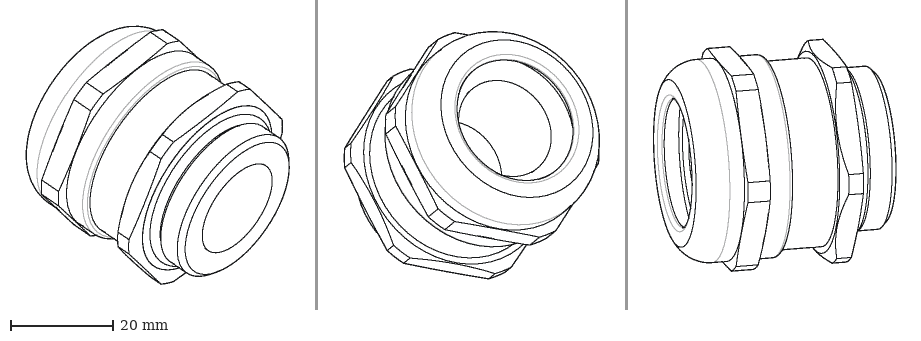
import cadquery as cq
import math


total_length = 40.75
hex_across_flats = 40.0
hex_corner_dia = 44.0
bore_dia = 20.0
flats_up_angle = 30
full_turn = 360

cap_dia = 39.8
cap_length = 18.7
cap_face_dia = 32.8
cap_dome_length = 5.9
cap_end_fillet = 0.65
cap_hex_start = 8.85
cap_hex_length = 4.93
cap_hex_front_chamfer = 0.18
cap_hex_rear_chamfer = 0.25
mouth_dia = 25.3
mouth_fillet = 0.75
mouth_land = 0.45

spigot_start = 5.45
spigot_dia = 35.5
neck_dia = 37.0
body_hex_start = 28.05
body_hex_length = 4.65
body_hex_front_dia = 39.6
body_hex_cone_angle = 30
body_hex_front_chamfer = (
    (hex_corner_dia - body_hex_front_dia) / 2 * math.tan(math.radians(body_hex_cone_angle))
)
body_hex_rear_dia = 36.25
body_hex_rear_chamfer = 0.45
body_hex_end = body_hex_start + body_hex_length
thread_dia = 32.0
thread_start = 35.25
thread_chamfer = 1.1

seal_dia = 29.8
seal_end = body_hex_start

ring_outer_dia = 34.0
groove_dia = 30.0
ring_section_dia = (ring_outer_dia - groove_dia) / 2


def cylinder(start, end, dia):
    """Solid cylinder on the X axis between two X positions."""
    return cq.Workplane("YZ", origin=(start, 0, 0)).circle(dia / 2).extrude(end - start)


def revolve_about_x(profile):
    """Full turn of an XY profile (X along the axis, Y the radius) about the X axis."""
    return profile.close().revolve(full_turn, (0, 0, 0), (1, 0, 0))


def hex_collar(start, length, front_dia, front_chamfer, rear_dia, rear_chamfer):
    """Hexagon with flats on +Z and -Z, its corners rounded and coned down at both ends."""
    end = start + length
    prism = (
        cq.Workplane("YZ", origin=(start, 0, 0))
        .polygon(6, hex_across_flats, circumscribed=True)
        .extrude(length)
        .rotate((0, 0, 0), (1, 0, 0), flats_up_angle)
    )
    envelope = revolve_about_x(
        cq.Workplane("XY")
        .moveTo(start, 0)
        .lineTo(start, front_dia / 2)
        .lineTo(start + front_chamfer, hex_corner_dia / 2)
        .lineTo(end - rear_chamfer, hex_corner_dia / 2)
        .lineTo(end, rear_dia / 2)
        .lineTo(end, 0)
    )
    return prism.intersect(envelope)


def make_cap_nut():
    """Domed nut with a hexagon, a rounded mouth and a conical cavity opening onto the spigot."""
    dome_drop = (cap_dia - cap_face_dia) / 2
    dome_radius = (cap_dome_length**2 + dome_drop**2) / (2 * dome_drop)
    half_angle = math.asin(cap_dome_length / dome_radius) / 2
    dome_middle = (
        cap_dome_length - dome_radius * math.sin(half_angle),
        cap_dia / 2 - dome_radius * (1 - math.cos(half_angle)),
    )
    shell = revolve_about_x(
        cq.Workplane("XY")
        .lineTo(0, cap_face_dia / 2)
        .threePointArc(dome_middle, (cap_dome_length, cap_dia / 2))
        .lineTo(cap_length, cap_dia / 2)
        .lineTo(cap_length, 0)
    )
    shell = shell.faces(">X").edges().fillet(cap_end_fillet)
    shell = shell.union(
        hex_collar(
            cap_hex_start, cap_hex_length, cap_dia, cap_hex_front_chamfer, cap_dia, cap_hex_rear_chamfer
        )
    )

    mouth_radius = mouth_dia / 2
    cavity_start = mouth_fillet + mouth_land
    cavity = revolve_about_x(
        cq.Workplane("XY")
        .lineTo(0, mouth_radius + mouth_fillet)
        .radiusArc((mouth_fillet, mouth_radius), -mouth_fillet)
        .lineTo(cavity_start, mouth_radius)
        .lineTo(spigot_start, spigot_dia / 2)
        .lineTo(cap_length, spigot_dia / 2)
        .lineTo(cap_length, 0)
    )
    return shell.cut(cavity)


def make_body():
    """Tube with a spigot inside the cap, a neck, a hexagon, an O-ring groove and a thread."""
    groove_end = thread_start - (thread_dia - groove_dia) / 2
    stem = revolve_about_x(
        cq.Workplane("XY")
        .moveTo(spigot_start, 0)
        .lineTo(spigot_start, spigot_dia / 2)
        .lineTo(cap_length, spigot_dia / 2)
        .lineTo(cap_length, neck_dia / 2)
        .lineTo(body_hex_end, neck_dia / 2)
        .lineTo(body_hex_end, groove_dia / 2)
        .lineTo(groove_end, groove_dia / 2)
        .lineTo(thread_start, thread_dia / 2)
        .lineTo(total_length - thread_chamfer, thread_dia / 2)
        .lineTo(total_length, thread_dia / 2 - thread_chamfer)
        .lineTo(total_length, 0)
    )
    collar = hex_collar(
        body_hex_start,
        body_hex_length,
        body_hex_front_dia,
        body_hex_front_chamfer,
        body_hex_rear_dia,
        body_hex_rear_chamfer,
    )
    through_bore = cylinder(spigot_start, total_length, bore_dia)
    seal_seat = cylinder(spigot_start, seal_end, seal_dia)
    return stem.union(collar).cut(through_bore).cut(seal_seat)


def make_seal():
    """Sleeve lining the front of the body, flush with the end of the spigot."""
    return cylinder(spigot_start, seal_end, seal_dia).cut(cylinder(spigot_start, seal_end, bore_dia))


def make_o_ring():
    """Ring seated in the groove, against the rear face of the body hexagon."""
    section_radius = ring_section_dia / 2
    centre_radius = groove_dia / 2 + section_radius
    return (
        cq.Workplane("XY")
        .center(body_hex_end + section_radius, centre_radius)
        .circle(section_radius)
        .revolve(full_turn, (0, -centre_radius, 0), (1, -centre_radius, 0))
    )


cap_nut = make_cap_nut()
body = make_body()
seal = make_seal()
o_ring = make_o_ring()

result = cq.Compound.makeCompound([cap_nut.val(), body.val(), seal.val(), o_ring.val()])